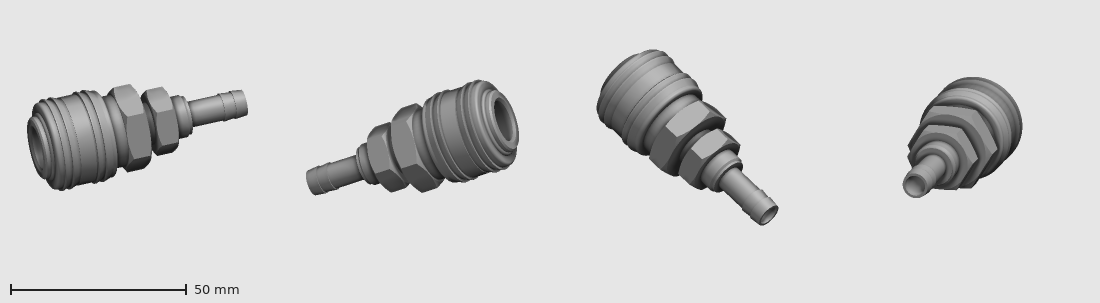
import cadquery as cq
import math


total_length = 62.0
overlap = 0.3

nose_radius = 9.05
nose_chamfer = 0.5
nose_shoulder_radius = 9.9
nose_shoulder_start = 1.7

sleeve_radius = 12.65
sleeve_front = 2.5
sleeve_back = 20.45
sleeve_fillet = 0.8
waist_radius = 12.6
band_radius = 12.85
band_front = 9.4
band_back = 14.0

ridge_radius = 13.4
ridge_land = 0.4
ridge_pitch = 2.3
front_ridge_pair = 4.6
rear_ridge_pair = 14.45

neck_radius = 10.4
hex_front = 24.2
hex_back = 31.0
hex_across_flats = 21.95
hex_chamfer_angle = 30.0
spigot_radius = 6.15
spigot_tip_radius = 5.6
spigot_end = 44.95
spigot_tip_length = 0.7

tail_radius = 3.7
barb_radius = 4.1
barb_length = 3.4
barb_count = 2

socket_radius = 6.0
socket_chamfer = 0.7
socket_depth = hex_front
passage_radius = 3.5
tail_bore_radius = 3.0

nut_front = 33.7
nut_back = 39.9
nut_across_flats = 17.05


def turned(outline):
    """Solid of revolution about Y from (radius, Y) points."""
    return cq.Workplane("XY").polyline(outline).close().revolve(360, (0, 0, 0), (0, 1, 0))


def cylinder(radius, start, end):
    """Plain cylinder on the Y axis."""
    return turned([(0, start), (radius, start), (radius, end), (0, end)])


def chamfered_hexagon(across_flats, front, back):
    """Hexagon with corners on +X and -X, both ends turned down conically to the flats."""
    flat_radius = across_flats / 2
    corner_radius = flat_radius / math.cos(math.radians(30))
    chamfer_depth = (corner_radius - flat_radius) * math.tan(math.radians(hex_chamfer_angle))
    prism = (
        cq.Workplane("XZ", origin=(0, front, 0))
        .polygon(6, 2 * corner_radius)
        .extrude(front - back)
    )
    envelope = turned([
        (0, front),
        (flat_radius, front),
        (corner_radius, front + chamfer_depth),
        (corner_radius, back - chamfer_depth),
        (flat_radius, back),
        (0, back),
    ])
    return prism.intersect(envelope)


def nose():
    """Mouth ring with a chamfered rim, with a shoulder rounded over its full depth."""
    ring = cylinder(nose_radius, 0, sleeve_front + overlap).faces("<Y").edges().chamfer(nose_chamfer)
    shoulder = cylinder(nose_shoulder_radius, nose_shoulder_start, sleeve_front + overlap)
    shoulder = shoulder.faces("<Y").edges().fillet(sleeve_front - nose_shoulder_start)
    return ring.union(shoulder)


def ridge(steep_side, root_radius):
    """One grip ridge: steep side, short land, then a slope falling to root_radius."""
    return turned([
        (0, steep_side),
        (ridge_radius, steep_side),
        (ridge_radius, steep_side + ridge_land),
        (root_radius, steep_side + ridge_pitch),
        (0, steep_side + ridge_pitch),
    ])


def sleeve():
    """Round sleeve with rounded ends, a raised middle band and two pairs of ridges."""
    waist_front = front_ridge_pair + ridge_pitch
    waist_back = rear_ridge_pair + ridge_pitch
    front_collar = cylinder(sleeve_radius, sleeve_front, waist_front)
    front_collar = front_collar.faces("<Y").edges().fillet(sleeve_fillet)
    rear_collar = cylinder(sleeve_radius, waist_back, sleeve_back)
    rear_collar = rear_collar.faces(">Y").edges().fillet(sleeve_fillet)
    body = cylinder(waist_radius, waist_front - overlap, waist_back + overlap)
    body = body.union(front_collar).union(rear_collar)
    body = body.union(cylinder(band_radius, band_front, band_back))
    for first_ridge in (front_ridge_pair, rear_ridge_pair):
        body = body.union(ridge(first_ridge, waist_radius))
    body = body.union(ridge(waist_front, waist_radius))
    body = body.union(ridge(waist_back, sleeve_radius))
    return body


def spigot():
    """Plain cylinder standing for the threaded spigot, with a chamfer down to its reduced tip."""
    tip_start = spigot_end - spigot_tip_length
    return turned([
        (0, hex_back - overlap),
        (spigot_radius, hex_back - overlap),
        (spigot_radius, tip_start - (spigot_radius - spigot_tip_radius)),
        (spigot_tip_radius, tip_start),
        (spigot_tip_radius, spigot_end),
        (0, spigot_end),
    ])


def hose_tail():
    """Slim tube with conical barbs that taper toward its free end."""
    tail = cylinder(tail_radius, spigot_end - overlap, total_length)
    for index in range(barb_count):
        barb_end = total_length - index * barb_length
        barb_start = barb_end - barb_length
        barb = turned([(0, barb_start), (barb_radius, barb_start), (tail_radius, barb_end), (0, barb_end)])
        tail = tail.union(barb)
    return tail


def through_bore():
    """Plug socket with a chamfered mouth, then a passage that narrows in the hose tail."""
    return turned([
        (0, 0),
        (socket_radius + socket_chamfer, 0),
        (socket_radius, socket_chamfer),
        (socket_radius, socket_depth),
        (passage_radius, socket_depth),
        (passage_radius, spigot_end - spigot_tip_length),
        (tail_bore_radius, spigot_end - spigot_tip_length),
        (tail_bore_radius, total_length),
        (0, total_length),
    ])


def make_coupling():
    """Complete coupling body, bored from end to end."""
    body = sleeve()
    body = body.union(nose())
    body = body.union(cylinder(neck_radius, sleeve_back - overlap, hex_front + overlap))
    body = body.union(chamfered_hexagon(hex_across_flats, hex_front, hex_back))
    body = body.union(spigot())
    body = body.union(hose_tail())
    return body.cut(through_bore())


def make_lock_nut():
    """Hexagon nut whose bore fits the spigot."""
    return chamfered_hexagon(nut_across_flats, nut_front, nut_back).cut(
        cylinder(spigot_radius, nut_front, nut_back)
    )


coupling = make_coupling()
lock_nut = make_lock_nut()
result = cq.Compound.makeCompound([coupling.val(), lock_nut.val()])